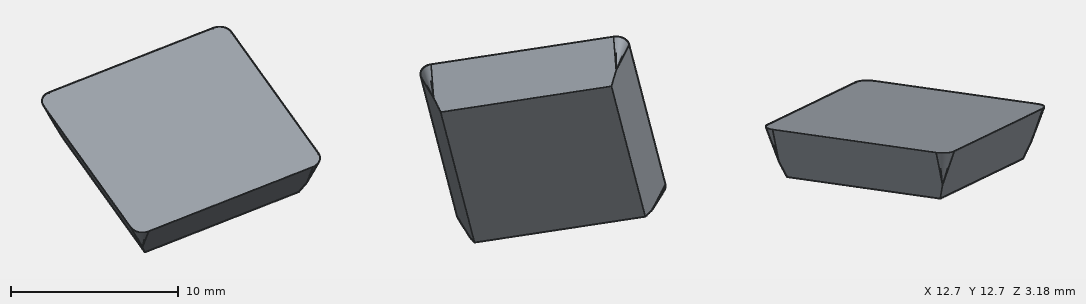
import cadquery as cq
import math

side_length = 12.7
thickness = 3.175
relief_angle = 20.0
corner_radius = 0.8

nose_depth = corner_radius / math.tan(math.radians(relief_angle))
nose_center = side_length / 2 - corner_radius


def make_tapered_body():
    """Sharp-cornered square frustum, top face at z = thickness, base at z = 0."""
    return (
        cq.Workplane("XY", origin=(0, 0, thickness))
        .rect(side_length, side_length)
        .extrude(-thickness, taper=relief_angle)
    )


def make_nose_cutter():
    """Material outside the conical nose at the +X +Y corner."""
    apex = cq.Vector(nose_center, nose_center, thickness - nose_depth)
    corner_block = cq.Workplane("XY", origin=apex.toTuple()).box(
        corner_radius, corner_radius, nose_depth, centered=False
    )
    nose_cone = cq.Solid.makeCone(0, corner_radius, nose_depth, pnt=apex)
    return corner_block.cut(cq.Workplane(obj=nose_cone))


result = make_tapered_body()
nose_cutter = make_nose_cutter()
for corner_angle in (0, 90, 180, 270):
    result = result.cut(nose_cutter.rotate((0, 0, 0), (0, 0, 1), corner_angle))